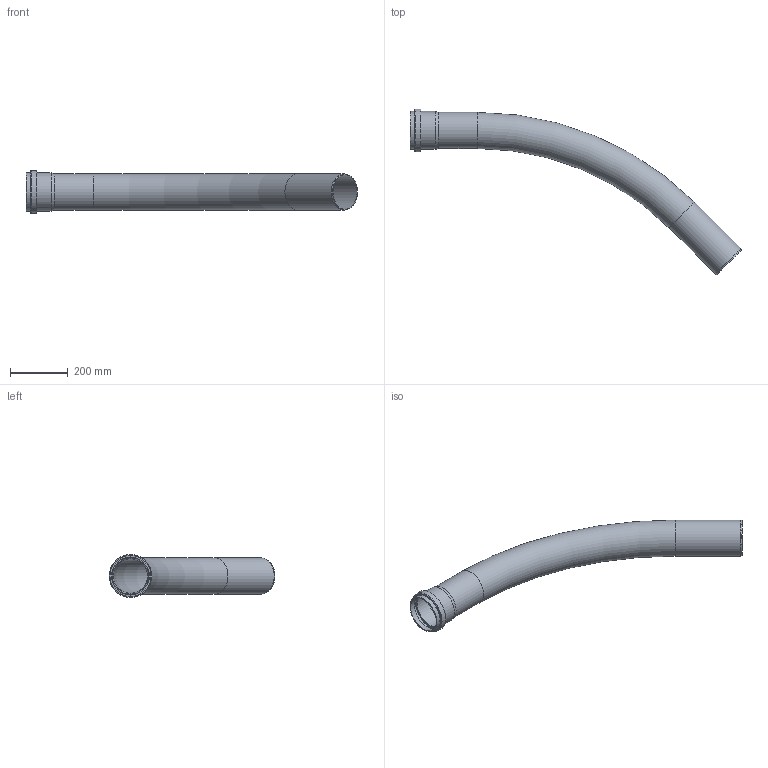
import cadquery as cq
import math

wall = 3.1
pipe_od = 125.0
pipe_r = pipe_od / 2
bore_r = pipe_r - wall
bend_radius = 1000.0
bend_angle = 45.0
straight_length = 232.0

socket_bore_r = 125.4 / 2
socket_r = socket_bore_r + wall
ring_r = 148.0 / 2
groove_r = ring_r - wall
ring_start = 15.0
ring_end = 35.0
ring_rounding = 2.0
groove_start = ring_start + wall
groove_end = ring_end - wall
socket_end = 85.0
taper_end = 97.0
edge_margin = 0.5

chamfer_length = 5.0
chamfer_angle = 15.0
chamfer_depth = chamfer_length * math.tan(math.radians(chamfer_angle))


def revolve_about_x(points):
    """Turn an (x, radius) outline around the X axis."""
    profile = cq.Workplane("XY").polyline(points).close()
    return profile.revolve(360, (0, 0, 0), (1, 0, 0))


def make_socket_pipe():
    """Straight inlet with the socket mouth at x = 0."""
    outside = [
        (0, socket_r),
        (ring_start, socket_r),
        (ring_start, ring_r),
        (ring_end, ring_r),
        (ring_end, socket_r),
        (socket_end, socket_r),
        (taper_end, pipe_r),
        (straight_length, pipe_r),
    ]
    inside = [
        (straight_length, bore_r),
        (taper_end, bore_r),
        (socket_end, socket_bore_r),
        (groove_end, socket_bore_r),
        (groove_end, groove_r),
        (groove_start, groove_r),
        (groove_start, socket_bore_r),
        (0, socket_bore_r),
    ]
    pipe = revolve_about_x(outside + inside)
    at_ring_start = cq.selectors.BoxSelector(
        (ring_start - edge_margin, -2 * ring_r, -2 * ring_r),
        (ring_start + edge_margin, 2 * ring_r, 2 * ring_r),
    )
    largest_circle = cq.selectors.RadiusNthSelector(-1)
    return pipe.edges(at_ring_start).edges(largest_circle).fillet(ring_rounding)


def make_bend():
    """Curved pipe that turns from +X toward -Y."""
    section = cq.Workplane("YZ", origin=(straight_length, 0, 0)).circle(pipe_r).circle(bore_r)
    return section.revolve(bend_angle, (-bend_radius, 0, 0), (-bend_radius, -1, 0))


def make_spigot():
    """Straight outlet with a chamfered tip, moved to the end of the bend."""
    spigot = revolve_about_x([
        (0, bore_r),
        (0, pipe_r),
        (straight_length - chamfer_length, pipe_r),
        (straight_length, pipe_r - chamfer_depth),
        (straight_length, bore_r),
    ])
    angle = math.radians(bend_angle)
    end_x = straight_length + bend_radius * math.sin(angle)
    end_y = -bend_radius * (1 - math.cos(angle))
    return spigot.rotate((0, 0, 0), (0, 0, 1), -bend_angle).translate((end_x, end_y, 0))


result = make_socket_pipe().union(make_bend()).union(make_spigot())